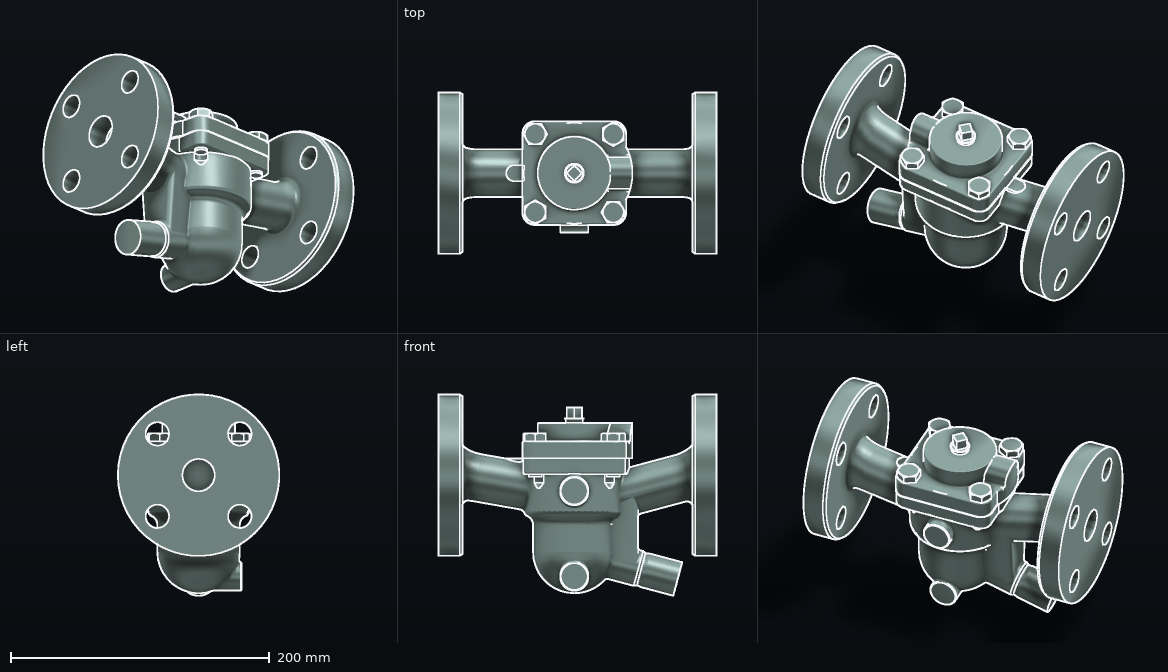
import cadquery as cq
import math


FLANGE_DIAMETER = 125.0
FLANGE_THICKNESS = 18.6
FLANGE_CHAMFER_LENGTH = 2.2
FLANGE_CHAMFER_DEPTH = 1.5
INLET_FACE_X = -105.0
OUTLET_FACE_X = 110.0
BOLT_CIRCLE = 90.0
FLANGE_HOLE_DIAMETER = 18.0
FLANGE_HOLE_COUNT = 4
FLANGE_HOLE_START_ANGLE = 45.0
BORE_DIAMETER = 25.0

PIPE_DIAMETER = 37.0
INLET_TILT = 10.0
OUTLET_TILT = 15.0
INLET_NECK_START = 11.3
OUTLET_NECK_START = 9.4
NECK_FLARE_RADIUS = 32.0
NECK_FILLET = 4.0
INLET_FILLET = 4.5
OUTLET_FILLET = 3.0

UPPER_RADIUS = 39.0
LOWER_RADIUS = 32.0
SHOULDER_TOP_Z = -27.6
SHOULDER_BOTTOM_Z = -38.3
SHOULDER_FILLET = 4.6
BOWL_CENTRE_Z = -59.4

JOINT_Z = 12.9
BODY_FLANGE_BOTTOM_Z = 0.6
BODY_FLANGE_SIDE = 79.0
BODY_FLANGE_CORNER_RADIUS = 8.5
BODY_FLANGE_BULGE_RADIUS = 42.6
COVER_TOP_Z = 26.1
COVER_SIDE = 80.4
COVER_BULGE_RADIUS = 45.0
COVER_CORNER_RADIUS = 10.0
PLATE_EDGE_FILLET = 1.6
CAP_DIAMETER = 56.5
CAP_TOP_Z = 40.4
CAP_TOP_FILLET = 1.0
CAP_BASE_FILLET = 1.6
CHANNEL_RADIUS = 12.2
CHANNEL_FILLET = 2.0

STEM_NECK_DIAMETER = 13.4
STEM_COLLAR_DIAMETER = 14.8
STEM_COLLAR_BOTTOM_Z = 43.4
STEM_COLLAR_TOP_Z = 44.0
STEM_SQUARE_DIAGONAL = 12.0
STEM_TOP_Z = 52.3

BOLT_OFFSET = 30.2
BOLT_DIAMETER = 10.0
BOLT_HEAD_ACROSS_FLATS = 16.0
BOLT_HEAD_HEIGHT = 6.3
BOLT_HEAD_CHAMFER_ANGLE = 30.0
BOLT_END_Z = -1.3
BOLT_HOLE_DIAMETER = 13.0
BOLT_HOLE_BOTTOM_Z = -5.8
BOLT_HOLE_TIP = 10.5

PLUG_DIAMETER = 22.0
PLUG_EDGE_CHAMFER = 0.6
UPPER_PLUG_Z = -12.3
UPPER_PLUG_END_Y = -46.1
LOWER_PLUG_Z = -78.4
LOWER_PLUG_END_Y = -33.2
PLUG_FILLET = 2.2

PAD_WIDTH = 12.4
PAD_END_X = -52.6

DISCHARGE_TILT = 15.0
DISCHARGE_AXIS_Z = -58.9
DISCHARGE_LENGTH = 82.9
DISCHARGE_SOCKET_DIAMETER = 28.0
DISCHARGE_SOCKET_END = 51.3
DISCHARGE_GROOVE_DIAMETER = 26.0
DISCHARGE_GROOVE_START = 53.6
DISCHARGE_GROOVE_END = 54.8
DISCHARGE_TUBE_DIAMETER = 27.0
DISCHARGE_TUBE_START = 57.1
DISCHARGE_FILLET = 3.0

RIB_OUTER_X = 49.3
RIB_TOP_Z = -16.0
RIB_BOTTOM_Z = -68.0
RIB_TOP_HALF_WIDTH = 18.0
RIB_BOTTOM_HALF_WIDTH = 13.7
RIB_EDGE_FILLET = 4.4
RIB_FILLET = 2.5

SEAM_TOLERANCE = 0.01


def cylinder_z(diameter, bottom, top):
    return cq.Workplane("XY").workplane(offset=bottom).circle(diameter / 2).extrude(top - bottom)


def box_between(x_range, y_range, z_range):
    sizes = [high - low for low, high in (x_range, y_range, z_range)]
    return cq.Workplane("XY").box(*sizes, centered=False).translate((x_range[0], y_range[0], z_range[0]))


def join_rounded(first, second, radius):
    """Join two solids and round the seam, which is every edge lying on the surfaces of both."""
    joined = first.union(second).val()
    surfaces = [cq.Compound.makeCompound(solid.faces().vals()) for solid in (first, second)]
    seam = []
    for edge in joined.Edges():
        middle = edge.positionAt(0.5)
        probe = cq.Vertex.makeVertex(middle.x, middle.y, middle.z)
        if all(surface.distance(probe) < SEAM_TOLERANCE for surface in surfaces):
            seam.append(edge)
    return cq.Workplane(joined.fillet(radius, seam).Solids()[0])


def make_body():
    """Stepped round body with a hemispherical bowl and an S-shaped shoulder of two tangent arcs."""
    step = UPPER_RADIUS - LOWER_RADIUS
    height = SHOULDER_TOP_Z - SHOULDER_BOTTOM_Z
    radius_sum = (step**2 + height**2) / (2 * step)
    sweep_sine = height / radius_sum
    meeting_z = SHOULDER_TOP_Z - SHOULDER_FILLET * sweep_sine
    centre_gap = radius_sum - step
    meeting_radius = UPPER_RADIUS - SHOULDER_FILLET * (1 - centre_gap / radius_sum)
    profile = (
        cq.Workplane("XZ")
        .moveTo(0, BOWL_CENTRE_Z - LOWER_RADIUS)
        .radiusArc((LOWER_RADIUS, BOWL_CENTRE_Z), -LOWER_RADIUS)
        .lineTo(LOWER_RADIUS, SHOULDER_BOTTOM_Z)
        .tangentArcPoint((meeting_radius, meeting_z), relative=False)
        .tangentArcPoint((UPPER_RADIUS, SHOULDER_TOP_Z), relative=False)
        .lineTo(UPPER_RADIUS, COVER_TOP_Z)
        .lineTo(0, COVER_TOP_Z)
        .close()
    )
    return profile.revolve(360, (0, 0, 0), (0, 1, 0))


def make_flange(face_x, side):
    """Pipe flange; side is -1 for the inlet end and +1 for the outlet end."""
    flange = (
        cq.Workplane("YZ")
        .workplane(offset=face_x)
        .circle(FLANGE_DIAMETER / 2)
        .extrude(-side * FLANGE_THICKNESS)
    )
    inner_edge = flange.faces(">X" if side < 0 else "<X").edges()
    return inner_edge.chamfer(FLANGE_CHAMFER_LENGTH, FLANGE_CHAMFER_DEPTH)


def make_pipe(face_x, side, tilt, neck_start):
    """Pipe falling from the flange centre towards the body, flared where it meets the flange."""
    slope = math.radians(tilt)
    flange_back = cq.Vector(face_x - side * FLANGE_THICKNESS, 0, 0)
    inward = cq.Vector(-side * math.cos(slope), 0, -math.sin(slope))
    frame = cq.Plane(origin=flange_back, xDir=(0, 1, 0), normal=inward)
    radius = PIPE_DIAMETER / 2
    pipe_length = abs(flange_back.x) / math.cos(slope)
    flare_start = -FLANGE_THICKNESS / 2
    flare_run = neck_start - flare_start
    flare_rise = NECK_FLARE_RADIUS - math.sqrt(NECK_FLARE_RADIUS**2 - flare_run**2)
    local = (
        cq.Workplane("XY")
        .moveTo(0, flare_start)
        .lineTo(radius + flare_rise, flare_start)
        .radiusArc((radius, neck_start), NECK_FLARE_RADIUS)
        .lineTo(radius, pipe_length)
        .lineTo(0, pipe_length)
        .close()
        .revolve(360, (0, 0, 0), (0, 1, 0))
        .rotate((0, 0, 0), (1, 0, 0), 90)
    )
    return cq.Workplane(local.val().moved(cq.Location(frame)))


def make_flanged_pipe(face_x, side, tilt, neck_start):
    flange_back = face_x - side * FLANGE_THICKNESS
    outer_end = box_between(
        sorted((flange_back, flange_back + side * FLANGE_DIAMETER)),
        (-FLANGE_DIAMETER, FLANGE_DIAMETER),
        (-FLANGE_DIAMETER, FLANGE_DIAMETER),
    )
    pipe = make_pipe(face_x, side, tilt, neck_start).cut(outer_end)
    return join_rounded(make_flange(face_x, side), pipe, NECK_FILLET)


def make_plug(z, end_y):
    plug = cq.Workplane("XZ").center(0, z).circle(PLUG_DIAMETER / 2).extrude(-end_y)
    return plug.faces("<Y").edges().chamfer(PLUG_EDGE_CHAMFER)


def make_pad():
    """Flat-topped rib on the inlet pipe, rounded at its end and level with the cover joint."""
    radius = PAD_WIDTH / 2
    return (
        cq.Workplane("XY")
        .workplane(offset=JOINT_Z)
        .moveTo(0, radius)
        .lineTo(PAD_END_X + radius, radius)
        .threePointArc((PAD_END_X, 0), (PAD_END_X + radius, -radius))
        .lineTo(0, -radius)
        .close()
        .extrude(-PAD_WIDTH)
    )


def make_discharge_pipe():
    socket = DISCHARGE_SOCKET_DIAMETER / 2
    groove = DISCHARGE_GROOVE_DIAMETER / 2
    tube = DISCHARGE_TUBE_DIAMETER / 2
    profile = [
        (0, 0),
        (0, socket),
        (DISCHARGE_SOCKET_END, socket),
        (DISCHARGE_GROOVE_START, groove),
        (DISCHARGE_GROOVE_END, groove),
        (DISCHARGE_TUBE_START, tube),
        (DISCHARGE_LENGTH, tube),
        (DISCHARGE_LENGTH, 0),
    ]
    pipe = cq.Workplane("XZ").polyline(profile).close().revolve(360, (0, 0, 0), (1, 0, 0))
    return pipe.rotate((0, 0, 0), (0, 1, 0), DISCHARGE_TILT).translate((0, 0, DISCHARGE_AXIS_Z))


def make_rib():
    """Block between outlet and discharge pipes whose sides draw in towards the bottom."""
    rib = (
        cq.Workplane("YZ")
        .polyline(
            [
                (-RIB_TOP_HALF_WIDTH, RIB_TOP_Z),
                (RIB_TOP_HALF_WIDTH, RIB_TOP_Z),
                (RIB_BOTTOM_HALF_WIDTH, RIB_BOTTOM_Z),
                (-RIB_BOTTOM_HALF_WIDTH, RIB_BOTTOM_Z),
            ]
        )
        .close()
        .extrude(RIB_OUTER_X)
    )
    side_edges = rib.faces(">X").edges("not #Z")
    return side_edges.fillet(RIB_EDGE_FILLET)


def make_plate(side_length, corner_radius, bulge_radius, bottom, top):
    """Square plate with rounded corners that bulges outwards on the outlet side."""
    square = cq.Workplane("XY").workplane(offset=bottom).rect(side_length, side_length).extrude(top - bottom)
    square = square.edges("|Z").fillet(corner_radius)
    half = side_length / 2
    bulge_half_width = math.sqrt(bulge_radius**2 - half**2)
    limit = box_between((0, bulge_radius), (-bulge_half_width, bulge_half_width), (bottom, top))
    bulge = cylinder_z(2 * bulge_radius, bottom, top).intersect(limit)
    return square.union(bulge)


def make_channel():
    """Arched passage from the cap to the outlet side, flared where it meets the plate."""
    arch_z = CAP_TOP_Z - CHANNEL_RADIUS
    foot = CHANNEL_RADIUS + CHANNEL_FILLET
    flare_z = COVER_TOP_Z + CHANNEL_FILLET
    channel = (
        cq.Workplane("YZ")
        .moveTo(-foot, JOINT_Z)
        .lineTo(-foot, COVER_TOP_Z)
        .radiusArc((-CHANNEL_RADIUS, flare_z), -CHANNEL_FILLET)
        .lineTo(-CHANNEL_RADIUS, arch_z)
        .threePointArc((0, CAP_TOP_Z), (CHANNEL_RADIUS, arch_z))
        .lineTo(CHANNEL_RADIUS, flare_z)
        .radiusArc((foot, COVER_TOP_Z), -CHANNEL_FILLET)
        .lineTo(foot, JOINT_Z)
        .close()
        .extrude(2 * COVER_BULGE_RADIUS)
    )
    return channel.intersect(cylinder_z(2 * COVER_BULGE_RADIUS, JOINT_Z, CAP_TOP_Z))


def make_cover():
    plate = make_plate(COVER_SIDE, COVER_CORNER_RADIUS, COVER_BULGE_RADIUS, JOINT_Z, COVER_TOP_Z)
    plate = plate.faces(">Z").edges().fillet(PLATE_EDGE_FILLET)
    cap = cylinder_z(CAP_DIAMETER, JOINT_Z, CAP_TOP_Z)
    cap = cap.faces(">Z").edges().fillet(CAP_TOP_FILLET)
    return join_rounded(plate, cap, CAP_BASE_FILLET).union(make_channel())


def make_bolt(x, y, turn):
    """Hexagon bolt through both plates, its head chamfered by a cone."""
    corner_diameter = BOLT_HEAD_ACROSS_FLATS / math.cos(math.pi / 6)
    head_top = COVER_TOP_Z + BOLT_HEAD_HEIGHT
    head = cq.Workplane("XY").polygon(6, corner_diameter).extrude(BOLT_HEAD_HEIGHT)
    head = head.rotate((0, 0, 0), (0, 0, 1), turn).translate((0, 0, COVER_TOP_Z))
    shank = cylinder_z(BOLT_DIAMETER, BOLT_END_Z, COVER_TOP_Z)
    flat_radius = BOLT_HEAD_ACROSS_FLATS / 2
    slope = math.tan(math.radians(BOLT_HEAD_CHAMFER_ANGLE))
    cone = (
        cq.Workplane("XZ")
        .moveTo(0, head_top)
        .lineTo(flat_radius, head_top)
        .lineTo(flat_radius + BOLT_HEAD_HEIGHT / slope, COVER_TOP_Z)
        .lineTo(0, COVER_TOP_Z)
        .close()
        .revolve(360, (0, 0, 0), (0, 1, 0))
    )
    return head.intersect(cone).union(shank).translate((x, y, 0))


def make_bolt_hole(x, y):
    """Drilled hole with a pointed end around the bolt end, cutting into the body wall."""
    radius = BOLT_HOLE_DIAMETER / 2
    hole = (
        cq.Workplane("XZ")
        .moveTo(0, BODY_FLANGE_BOTTOM_Z)
        .lineTo(radius, BODY_FLANGE_BOTTOM_Z)
        .lineTo(radius, BOLT_HOLE_BOTTOM_Z)
        .lineTo(0, BOLT_HOLE_BOTTOM_Z - BOLT_HOLE_TIP)
        .close()
        .revolve(360, (0, 0, 0), (0, 1, 0))
    )
    return hole.translate((x, y, 0))


def make_stem():
    neck = cylinder_z(STEM_NECK_DIAMETER, CAP_TOP_Z, STEM_COLLAR_BOTTOM_Z)
    collar = cylinder_z(STEM_COLLAR_DIAMETER, STEM_COLLAR_BOTTOM_Z, STEM_COLLAR_TOP_Z)
    square = (
        cq.Workplane("XY")
        .workplane(offset=STEM_COLLAR_TOP_Z)
        .polygon(4, STEM_SQUARE_DIAGONAL)
        .extrude(STEM_TOP_Z - STEM_COLLAR_TOP_Z)
    )
    return neck.union(collar).union(square)


def make_flange_holes(face_x, side):
    """Bore and bolt holes of a pipe flange, as a shape to cut away."""
    depth = -side * FLANGE_THICKNESS
    face = cq.Workplane("YZ").workplane(offset=face_x)
    bolt_holes = (
        face.polarArray(BOLT_CIRCLE / 2, FLANGE_HOLE_START_ANGLE, 360, FLANGE_HOLE_COUNT)
        .circle(FLANGE_HOLE_DIAMETER / 2)
        .extrude(depth)
    )
    bore = face.circle(BORE_DIAMETER / 2).extrude(depth)
    return bolt_holes.union(bore)


def make_body_flange():
    plate = make_plate(
        BODY_FLANGE_SIDE,
        BODY_FLANGE_CORNER_RADIUS,
        BODY_FLANGE_BULGE_RADIUS,
        BODY_FLANGE_BOTTOM_Z,
        JOINT_Z,
    )
    return plate.faces("<Z").edges().fillet(PLATE_EDGE_FILLET)


def make_casting():
    """Body with everything that blends into it."""
    inlet = make_flanged_pipe(INLET_FACE_X, -1, INLET_TILT, INLET_NECK_START)
    outlet = make_flanged_pipe(OUTLET_FACE_X, 1, OUTLET_TILT, OUTLET_NECK_START)
    blended_parts = [
        (inlet, INLET_FILLET),
        (outlet, OUTLET_FILLET),
        (make_discharge_pipe(), DISCHARGE_FILLET),
        (make_rib(), RIB_FILLET),
        (make_plug(UPPER_PLUG_Z, UPPER_PLUG_END_Y), PLUG_FILLET),
        (make_plug(LOWER_PLUG_Z, LOWER_PLUG_END_Y), PLUG_FILLET),
    ]
    casting = make_body()
    for part, radius in blended_parts:
        casting = join_rounded(casting, part, radius)
    return casting.union(make_pad())


bolt_places = [(x * BOLT_OFFSET, y * BOLT_OFFSET) for x in (-1, 1) for y in (-1, 1)]

result = make_casting()
for bolt_x, bolt_y in bolt_places:
    result = result.cut(make_bolt_hole(bolt_x, bolt_y))
result = result.union(make_body_flange()).union(make_cover()).union(make_stem())
for bolt_x, bolt_y in bolt_places:
    head_turn = 90 if bolt_x * bolt_y > 0 else 0
    result = result.union(make_bolt(bolt_x, bolt_y, head_turn))
result = result.cut(make_flange_holes(INLET_FACE_X, -1)).cut(make_flange_holes(OUTLET_FACE_X, 1))